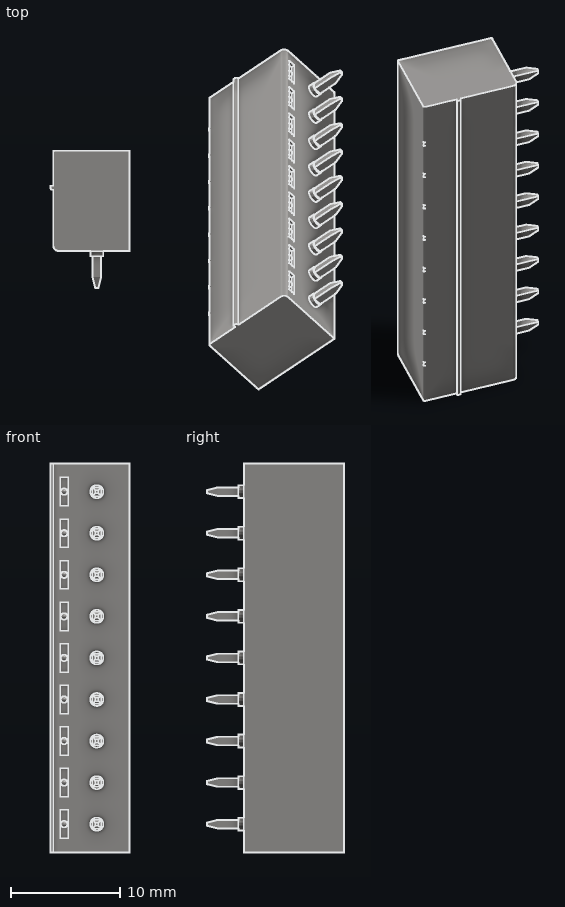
import cadquery as cq

POLES = 9
PITCH = 3.81
END_MARGIN = 2.6

HOUSING_WIDTH = 7.0
HOUSING_DEPTH = 9.2
HOUSING_HEIGHT = (POLES - 1) * PITCH + 2 * END_MARGIN
CORNER_RADIUS = 0.5

BACK_EDGE_RADIUS = 0.15
NUB_HEIGHT = 0.4

RIDGE_HEIGHT = 0.25
RIDGE_WIDTH = 0.4
RIDGE_RADIUS = 0.2
RIDGE_BACK_Y = HOUSING_DEPTH - 3.2

WINDOW_WIDTH = 0.75
WINDOW_HEIGHT = 2.6
WINDOW_DEPTH = 0.35
WINDOW_X = 1.0
DOME_RADIUS = 0.3

PIN_X = 4.0
PIN_SIZE = 0.8
PIN_LENGTH = 3.4
COLLAR_DIAMETER = 1.2
COLLAR_LENGTH = 0.5
TIP_LENGTH = 1.0
TIP_SIZE = 0.3

POLE_HEIGHTS = [END_MARGIN + i * PITCH for i in range(POLES)]


def pin_face_plane(x, y, z):
    """Sketch plane whose normal points out of the pin face, toward -Y."""
    return cq.Workplane(cq.Plane(origin=(x, y, z), xDir=(1, 0, 0), normal=(0, -1, 0)))


def make_housing():
    block = cq.Workplane("XY").box(HOUSING_WIDTH, HOUSING_DEPTH, HOUSING_HEIGHT, centered=False)
    block = block.edges("|Z and <X and <Y").fillet(CORNER_RADIUS)
    return block.edges("|Z and <X and >Y").fillet(BACK_EDGE_RADIUS)


def make_ridge():
    """Flat-topped ridge, square at the back and with its front edge rounded."""
    bar = (
        cq.Workplane("XY")
        .box(RIDGE_HEIGHT, RIDGE_WIDTH, HOUSING_HEIGHT, centered=False)
        .translate((-RIDGE_HEIGHT, RIDGE_BACK_Y - RIDGE_WIDTH, 0))
    )
    return bar.edges("|Z and <X and <Y").fillet(RIDGE_RADIUS)


def make_corner_nub(z):
    """Short block that squares up the rounded back edge between two poles."""
    return (
        cq.Workplane("XY")
        .box(BACK_EDGE_RADIUS, BACK_EDGE_RADIUS, NUB_HEIGHT, centered=(False, False, True))
        .translate((0, HOUSING_DEPTH - BACK_EDGE_RADIUS, z))
    )


def make_window(z):
    return pin_face_plane(WINDOW_X, WINDOW_DEPTH, z).rect(WINDOW_WIDTH, WINDOW_HEIGHT).extrude(WINDOW_DEPTH)


def make_dome(z):
    return cq.Workplane("XY").sphere(DOME_RADIUS).translate((WINDOW_X, WINDOW_DEPTH, z))


def make_pin(z):
    shank_length = PIN_LENGTH - TIP_LENGTH
    collar = pin_face_plane(PIN_X, 0, z).circle(COLLAR_DIAMETER / 2).extrude(COLLAR_LENGTH)
    shank = pin_face_plane(PIN_X, 0, z).rect(PIN_SIZE, PIN_SIZE).extrude(shank_length)
    tip = (
        pin_face_plane(PIN_X, -shank_length, z)
        .rect(PIN_SIZE, PIN_SIZE)
        .workplane(offset=TIP_LENGTH)
        .rect(TIP_SIZE, TIP_SIZE)
        .loft()
    )
    return collar.union(shank).union(tip)


def make_connector():
    connector = make_housing().union(make_ridge())
    for z in POLE_HEIGHTS:
        connector = connector.cut(make_window(z))
        connector = connector.union(make_dome(z))
        connector = connector.union(make_pin(z))
    for z in POLE_HEIGHTS[:-1]:
        connector = connector.union(make_corner_nub(z + PITCH / 2))
    return connector


result = make_connector()